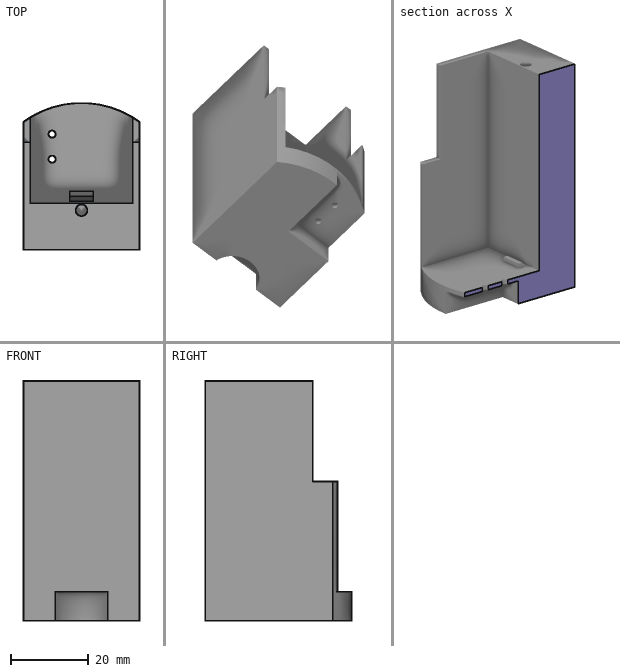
import cadquery as cq

width = 30.16
height = 62.23
half_width = width / 2

back_radius = 25.4
back_center_y = 12.7
back_y = back_center_y + back_radius

front_thickness = 12.065
wall_thickness = 1.78
floor_top = 7.62

upper_wall_depth = 27.94
wall_step_z = 36.2

recess_start_y = 19.05
recess_height = 6.35
recess_inner_x = -1.27

notch_half_width = 6.858
notch_depth = 5.5
notch_height = floor_top

pin_diameter = 3.0
pin_y = 10.25
pin_depth = 10.0

wire_diameter = 1.778
wire_x = -7.62
wire_positions_y = (23.5, 30.0)

catch_width = 6.2
catch_height = 1.27
catch_toe_y = 12.65
catch_top_front_y = catch_toe_y + catch_height
catch_back_y = 15.2



def box(x_min, x_max, y_min, y_max, z_min, z_max):
    """Axis-aligned box between two opposite corners."""
    size = (x_max - x_min, y_max - y_min, z_max - z_min)
    return cq.Workplane("XY").box(*size, centered=False).translate((x_min, y_min, z_min))


def make_body():
    """Full-height block with a cylindrical back."""
    side_y = back_center_y + (back_radius**2 - half_width**2) ** 0.5
    return (
        cq.Workplane("XY")
        .moveTo(-half_width, 0)
        .lineTo(half_width, 0)
        .lineTo(half_width, side_y)
        .threePointArc((0, back_y), (-half_width, side_y))
        .close()
        .extrude(height)
    )


def make_tray_space():
    """Space between the side walls, above the floor."""
    inner_x = half_width - wall_thickness
    return box(-inner_x, inner_x, front_thickness, back_y, floor_top, height)


def make_wall_step():
    """Material removed from the upper back of both side walls."""
    return box(-half_width, half_width, upper_wall_depth, back_y, wall_step_z, height)


def make_recess():
    """Pocket under the floor on the -X side."""
    return box(-half_width, recess_inner_x, recess_start_y, back_y, 0, recess_height)


def make_notch():
    """Arc-shaped notch rising from the bottom of the front face."""
    return (
        cq.Workplane("XY")
        .moveTo(-notch_half_width, 0)
        .threePointArc((0, notch_depth), (notch_half_width, 0))
        .close()
        .extrude(notch_height)
    )


def make_pin_hole():
    """Blind hole drilled down from the top of the front block."""
    return (
        cq.Workplane("XY", origin=(0, pin_y, height))
        .circle(pin_diameter / 2)
        .extrude(-pin_depth)
    )


def make_wire_holes():
    """Holes through the floor above the recess."""
    points = [(wire_x, y) for y in wire_positions_y]
    return cq.Workplane("XY").pushPoints(points).circle(wire_diameter / 2).extrude(floor_top)


def make_catch():
    """Catch with a 45 degree front slope, a flat top and an upright back."""
    top_z = floor_top + catch_height
    profile = [
        (catch_toe_y, floor_top),
        (catch_top_front_y, top_z),
        (catch_back_y, top_z),
        (catch_back_y, floor_top),
    ]
    return cq.Workplane("YZ").polyline(profile).close().extrude(catch_width / 2, both=True)


result = (
    make_body()
    .cut(make_tray_space())
    .cut(make_wall_step())
    .cut(make_recess())
    .cut(make_notch())
    .cut(make_pin_hole())
    .cut(make_wire_holes())
    .union(make_catch())
)